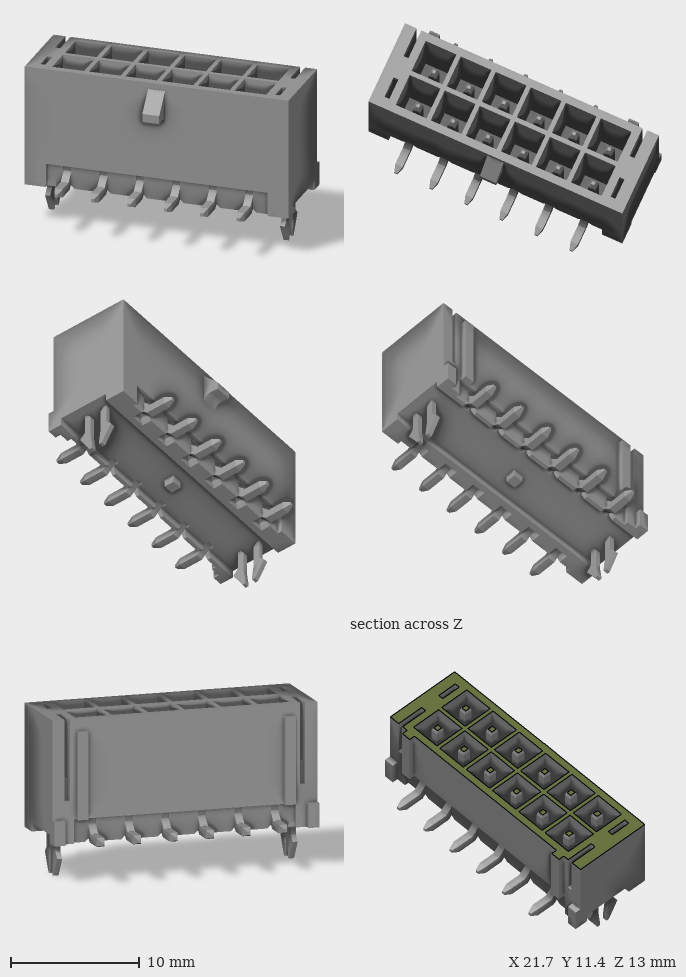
import cadquery as cq
import math


LENGTH = 21.7
WIDTH = 6.88
HEIGHT = 9.92
HEIGHT_WITH_CLIPS = 13.0
HALF_LENGTH = LENGTH / 2
HALF_WIDTH = WIDTH / 2

COLUMNS = 6
ROWS = 2
PITCH = 3.0
CAVITY_SIDE = 2.63
CAVITY_FLOOR = 2.39

CHANNEL_HEIGHT = 0.7
CHANNEL_FRONT = -1.74
CHANNEL_BACK = 2.73
STANDOFF_SIDE = 0.87
STANDOFF_Y = 0.2

RECESS_LENGTH = 18.23
RECESS_HEIGHT = 1.95
RECESS_DEPTH = 0.37
PANEL_FACE = HALF_WIDTH - RECESS_DEPTH

REAR_PROJECTION = 0.5
REAR_BLOCK_LENGTH = 0.87
RIB_TOP = 8.96
RIB_X = 8.5

PIN_WIDTH = 0.63
PIN_THICKNESS = 0.7
PIN_SPAN = 11.4
PIN_REACH = PIN_SPAN / 2
TIP_LENGTH = 0.6
TIP_SIDE = 0.25
CONTACT_TOP = 6.95
LEG_FACE = 2.95
LEG_INNER = LEG_FACE - PIN_THICKNESS
BEND_SIZE = 0.72
BEND_INNER_SIZE = 1.13
PIN_SLOT_HEIGHT = 1.82
FLARE_SIZE = 0.28

LATCH_WIDTH = 1.39
LATCH_REACH = 1.39
LATCH_TOP = 9.37
LATCH_NOSE_TOP = 7.81
LATCH_NOSE_BOTTOM = 7.15
LATCH_UNDERSIDE = 7.2
LATCH_ROOT = 6.49
LATCH_ROOT_RADIUS = LATCH_UNDERSIDE - LATCH_ROOT

CLIP_X = 9.65
CLIP_THICKNESS = 0.41
CLIP_Y = 0.075
CLIP_OUTER = 1.06
CLIP_INNER = 0.5
CLIP_SHOULDER = 0.25
CLIP_SHOULDER_Z = 0.35
CLIP_BARB = 1.52
CLIP_BARB_TOP = -1.06
CLIP_BARB_Z = -1.56
CLIP_TIP_Z = HEIGHT - HEIGHT_WITH_CLIPS
CLIP_TIP_INNER = 0.35
CLIP_TIP_OUTER = 0.6
CLIP_TIP_STRAIGHT = 0.37
SLOT_DEPTH = 6.5
CLIP_SHELF_HEIGHT = 1.74
REAR_SLOT_FRONT = 1.0
REAR_SHELF = (1.6, 2.89)
FRONT_SLOT = (-2.58, -0.87)
FRONT_SHELF = (-2.58, -1.4)


def span_box(x_range, y_range, z_range):
    """Box filling the given (low, high) ranges."""
    sizes = [high - low for low, high in (x_range, y_range, z_range)]
    corner = (x_range[0], y_range[0], z_range[0])
    return cq.Workplane("XY").box(*sizes, centered=False).translate(corner)


def centred_range(middle, size):
    """(low, high) range of the given size about its middle."""
    return (middle - size / 2, middle + size / 2)


def profile_along_x(wire_points, x_centre, thickness):
    """Closed YZ outline extruded symmetrically about x_centre."""
    plane = cq.Workplane("YZ", origin=(x_centre, 0, 0))
    return plane.polyline(wire_points).close().extrude(thickness / 2, both=True)


def on_both_sides(front_shape):
    """The shape together with its mirror image on the rear side."""
    return front_shape.union(front_shape.mirror("XZ"))


def pin_tip(plane, base_width, base_height):
    """Blunt pyramid growing along the normal of the plane."""
    base = plane.rect(base_width, base_height)
    return base.workplane(offset=TIP_LENGTH).rect(TIP_SIDE, TIP_SIDE).loft(combine=True)


column_xs = [(i - (COLUMNS - 1) / 2) * PITCH for i in range(COLUMNS)]
row_ys = [(j - (ROWS - 1) / 2) * PITCH for j in range(ROWS)]


def make_housing():
    """Shell with contact cavities, wall recesses and the underside channel."""
    whole_length = (-HALF_LENGTH, HALF_LENGTH)
    body = span_box(whole_length, (-HALF_WIDTH, HALF_WIDTH), (0, HEIGHT))
    channel = span_box(whole_length, (CHANNEL_FRONT, CHANNEL_BACK), (0, CHANNEL_HEIGHT))
    recess_x = centred_range(0, RECESS_LENGTH)
    recess = span_box(recess_x, (-HALF_WIDTH, -PANEL_FACE), (0, RECESS_HEIGHT))
    body = body.cut(channel).cut(on_both_sides(recess))

    cavities = cq.Workplane("XY", origin=(0, 0, CAVITY_FLOOR))
    cavities = cavities.rarray(PITCH, PITCH, COLUMNS, ROWS).rect(CAVITY_SIDE, CAVITY_SIDE)
    body = body.cut(cavities.extrude(HEIGHT - CAVITY_FLOOR))

    standoff = span_box(
        centred_range(0, STANDOFF_SIDE),
        centred_range(STANDOFF_Y, STANDOFF_SIDE),
        (0, CHANNEL_HEIGHT),
    )
    return body.union(standoff)


def make_pin_slot(x):
    """Slot in the front panel behind a pin leg, flared at the board face."""
    half = PIN_WIDTH / 2
    plane = cq.Workplane("XZ", origin=(x, -LEG_INNER, 0))
    outline = plane.polyline([
        (-half - FLARE_SIZE, 0),
        (-half, FLARE_SIZE),
        (-half, PIN_SLOT_HEIGHT),
        (half, PIN_SLOT_HEIGHT),
        (half, FLARE_SIZE),
        (half + FLARE_SIZE, 0),
    ])
    return outline.close().extrude(PANEL_FACE - LEG_INNER)


def make_lead(x):
    """Front solder lead: vertical leg, sloped bend and pointed foot."""
    tip_base = PIN_REACH - TIP_LENGTH
    lead = profile_along_x(
        [
            (-LEG_INNER, CAVITY_FLOOR),
            (-LEG_FACE, CAVITY_FLOOR),
            (-LEG_FACE, PIN_THICKNESS + BEND_SIZE),
            (-LEG_FACE - BEND_SIZE, PIN_THICKNESS),
            (-tip_base, PIN_THICKNESS),
            (-tip_base, 0),
            (-LEG_INNER - BEND_INNER_SIZE, 0),
            (-LEG_INNER, BEND_INNER_SIZE),
        ],
        x,
        PIN_WIDTH,
    )
    tip_plane = cq.Workplane("XZ", origin=(x, -tip_base, PIN_THICKNESS / 2))
    return lead.union(pin_tip(tip_plane, PIN_WIDTH, PIN_THICKNESS))


def make_contact(x, y):
    """Upright contact standing on the floor of its cavity."""
    tip_base = CONTACT_TOP - TIP_LENGTH
    foot = cq.Workplane("XY", origin=(x, y, CAVITY_FLOOR))
    post = foot.rect(PIN_WIDTH, PIN_THICKNESS).extrude(tip_base - CAVITY_FLOOR)
    tip_plane = cq.Workplane("XY", origin=(x, y, tip_base))
    return post.union(pin_tip(tip_plane, PIN_WIDTH, PIN_THICKNESS))


def make_rear_blocks(side):
    """Guide rib and low corner block on one half of the rear wall."""
    y_range = (HALF_WIDTH, HALF_WIDTH + REAR_PROJECTION)
    rib_x = centred_range(side * RIB_X, REAR_BLOCK_LENGTH)
    corner_x = centred_range(side * (HALF_LENGTH - REAR_BLOCK_LENGTH / 2), REAR_BLOCK_LENGTH)
    rib = span_box(rib_x, y_range, (RECESS_HEIGHT, RIB_TOP))
    return rib.union(span_box(corner_x, y_range, (0, RECESS_HEIGHT)))


def make_latch():
    """Ramped hook with a concave root under its catch face."""
    wall = -HALF_WIDTH
    nose = wall - LATCH_REACH
    arc_centre_y = wall - LATCH_ROOT_RADIUS
    arc_middle = (
        arc_centre_y + LATCH_ROOT_RADIUS * math.cos(math.pi / 4),
        LATCH_ROOT + LATCH_ROOT_RADIUS * math.sin(math.pi / 4),
    )
    outline = (
        cq.Workplane("YZ")
        .moveTo(wall, LATCH_TOP)
        .lineTo(nose, LATCH_NOSE_TOP)
        .lineTo(nose, LATCH_NOSE_BOTTOM)
        .lineTo(arc_centre_y, LATCH_UNDERSIDE)
        .threePointArc(arc_middle, (wall, LATCH_ROOT))
        .close()
    )
    return outline.extrude(LATCH_WIDTH / 2, both=True)


def make_clip_slots(x):
    """Front and rear slots in the top face, stepped where the clip sits in them."""
    x_range = centred_range(x, CLIP_THICKNESS)
    floor = HEIGHT - SLOT_DEPTH
    front = span_box(x_range, FRONT_SLOT, (floor, HEIGHT))
    rear = span_box(x_range, (REAR_SLOT_FRONT, HALF_WIDTH), (floor, HEIGHT))
    slots = front.union(rear)
    for shelf in (FRONT_SHELF, REAR_SHELF):
        slots = slots.cut(span_box(x_range, shelf, (floor, floor + CLIP_SHELF_HEIGHT)))
    return slots


def make_clip_prong(x, side):
    """One barbed prong, hanging from the underside channel."""
    offsets = [
        (CLIP_OUTER, CHANNEL_HEIGHT),
        (CLIP_OUTER, CLIP_BARB_TOP),
        (CLIP_BARB, CLIP_BARB_Z),
        (CLIP_TIP_OUTER, CLIP_TIP_Z),
        (CLIP_TIP_INNER, CLIP_TIP_Z),
        (CLIP_TIP_INNER, CLIP_TIP_Z + CLIP_TIP_STRAIGHT),
        (CLIP_INNER, CLIP_BARB_Z),
        (CLIP_INNER, CLIP_SHOULDER_Z),
        (CLIP_OUTER - CLIP_SHOULDER, CHANNEL_HEIGHT),
    ]
    outline = [(CLIP_Y + side * y, z) for y, z in offsets]
    return profile_along_x(outline, x, CLIP_THICKNESS)


result = make_housing().union(make_latch())

for column_x in column_xs:
    result = result.cut(on_both_sides(make_pin_slot(column_x)))
    result = result.union(on_both_sides(make_lead(column_x)))
    for row_y in row_ys:
        result = result.union(make_contact(column_x, row_y))

for end in (-1, 1):
    clip_x = end * CLIP_X
    result = result.union(make_rear_blocks(end)).cut(make_clip_slots(clip_x))
    for prong_side in (-1, 1):
        result = result.union(make_clip_prong(clip_x, prong_side))